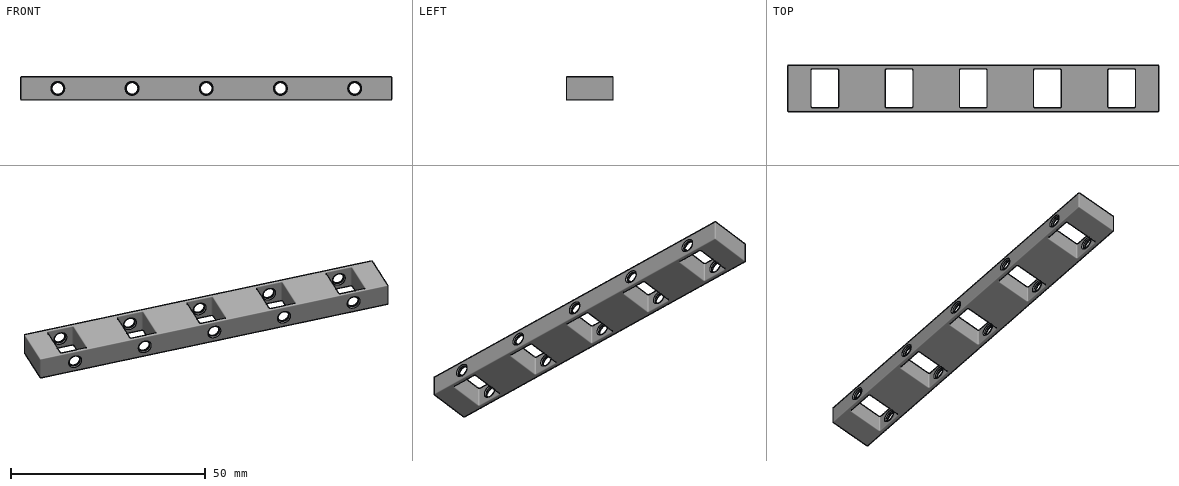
import cadquery as cq
length = 95.25
width = 12.0
height = 6.0
bar_edge_radius = 0.25

window_count = 5
pitch = length / window_count
window_length = 7.05
window_width = 9.9
window_corner_radius = 0.3
window_rim_radius = 0.27
hole_diameter = 3.0
hole_chamfer = 0.305


def make_bar():
    """Bar centred on the origin, with all twelve edges rounded."""
    return cq.Workplane("XY").box(length, width, height).edges().fillet(bar_edge_radius)


def window_cutter():
    """Round-cornered through window along Z."""
    opening = cq.Workplane("XY").box(window_length, window_width, height)
    return opening.edges("|Z").fillet(window_corner_radius)


def hole_cutter():
    """Round hole along Y, crossing both side walls."""
    return cq.Workplane("XZ").circle(hole_diameter / 2).extrude(width / 2, both=True)


def cut_at_stations(body, cutter):
    """Repeat one cut along X, in a row centred on the bar."""
    first = -pitch * (window_count - 1) / 2
    for index in range(window_count):
        body = body.cut(cutter.translate((first + pitch * index, 0, 0)))
    return body


def round_window_rims(body):
    """Round the window outlines in the top and bottom faces."""
    for face in body.faces("<Z or >Z").vals():
        for rim in face.innerWires():
            body = body.newObject(rim.Edges()).fillet(window_rim_radius)
    return body


bar = make_bar()
bar = cut_at_stations(bar, window_cutter())
bar = round_window_rims(bar)
bar = cut_at_stations(bar, hole_cutter())

result = bar.edges(cq.selectors.RadiusNthSelector(-1)).chamfer(hole_chamfer)